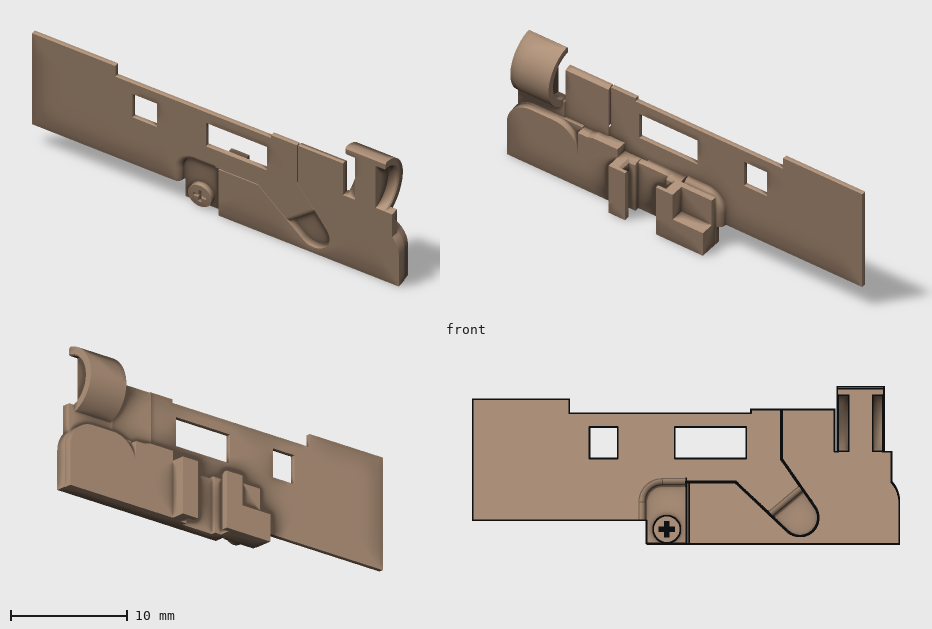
import cadquery as cq
import math

LENGTH = 36.52
SHEET_T = 0.45
SHEET_BOTTOM = 2.05
SHEET_TOP = 11.2
SHEET_RAISED_TOP = 12.4
RAISED_END = 8.3
WINDOW_BOTTOM = 7.35
WINDOW_TOP = 10.0
WINDOW_SPANS = [(10.0, 12.4), (17.3, 23.4)]
SEAM = 0.1

BEND_INNER_R = 0.1
BEND_OUTER_R = BEND_INNER_R + SHEET_T
BEND_STEP = BEND_INNER_R + BEND_OUTER_R
TAB_BACK = BEND_STEP + SHEET_T

TAB_OUTER_LEFT = 14.2
TAB_OUTER_TOP = 5.62
TAB_OUTER_R = 2.0
TAB_RIGHT = 18.25
TAB_BOTTOM = 0.07
TAB_LEFT = TAB_OUTER_LEFT + BEND_STEP
TAB_TOP = TAB_OUTER_TOP - BEND_STEP
TAB_R = TAB_OUTER_R - BEND_STEP
TAB_CORNER_X = TAB_OUTER_LEFT + TAB_OUTER_R
TAB_CORNER_Z = TAB_OUTER_TOP - TAB_OUTER_R

SCREW_X = 16.6
SCREW_Z = 1.28
SCREW_R = 1.17
SCREW_FRONT = 0.1
CROSS_LENGTH = 1.28
CROSS_WIDTH = 0.35
CROSS_DEPTH = 0.22
CROSS_TAPER = 30.0

RAIL_TOP = 5.25
RAIL_BACK = 2.95
LEFT_RAIL = (14.95, 19.85)
RIGHT_RAIL = (23.1, 24.85)
GROOVE_DEPTH = 0.65
GROOVE_FRONT = 1.42
GROOVE_BACK = 2.4
GROOVE_LEAD_IN = 0.22
STEP_RIGHT = 18.1
STEP_Z = 2.52

TONGUE_X = 28.0
TONGUE_Z = 2.25
TONGUE_R = 1.6
LOWER_SEAM = (22.5, RAIL_TOP)
UPPER_SEAM = (26.48, 7.3)
TONGUE_BEND = (25.27, 2.78)
TONGUE_TILT = 50.0
TONGUE_GAP = 0.07
REACH = 2 * LENGTH

BODY_LEFT = 18.55
BODY_T = 1.0
PLATE_T = 0.65
PLATE_TOP = 11.55
PLATE_SLOPE_FRONT = 0.3
SLOPE_DROP = 0.2
RAISED_PLATE_START = 23.8
SHOULDER_X = 35.85
SHOULDER_Z = 7.92
SHOULDER_T = 0.8
NOTCH_LEFT = 30.97

REAR_TOP = 6.17
REAR_FRONT = 0.55
REAR_BACK = 1.65
REAR_RIGHT = 29.0
REAR_RAMP_LEFT = 27.43
REAR_RAMP_RIGHT = 28.0
REAR_RAMP_DROP = 0.2

CORNER_R = 2.55
CORNER_Z = REAR_TOP - CORNER_R
HOOK_BLOCK_LEFT = REAR_RIGHT
HOOK_BLOCK_RIGHT = 36.45

HOOK_LEFT = 31.2
HOOK_RIGHT = 35.2
HOOK_R = 3.18
HOOK_INNER_R = 2.4
HOOK_Y = -0.3
HOOK_Z = 10.35
HOOK_CHAMFER = 0.2
HOOK_LEAD_IN = 0.1
RIB_LEFT = 32.17
RIB_RIGHT = 34.22


def box(x0, x1, y0, y1, z0, z1):
    return cq.Workplane("XY").box(x1 - x0, y1 - y0, z1 - z0, centered=False).translate((x0, y0, z0))


def front_plane(y):
    """Plane facing -Y, with local axes along X and Z."""
    return cq.Workplane("XZ", origin=(0, y, 0))


def disc(x, z, radius, y0, y1):
    return front_plane(y0).center(x, z).circle(radius).extrude(y0 - y1)


def tangent_point(start, radius, side):
    """Where a line from start touches the tongue's round end; side is +1 (above) or -1 (below)."""
    dx = start[0] - TONGUE_X
    dz = start[1] - TONGUE_Z
    angle = math.atan2(dz, dx) - side * math.acos(radius / math.hypot(dx, dz))
    return (TONGUE_X + radius * math.cos(angle), TONGUE_Z + radius * math.sin(angle))


def tongue_prism(gap, y0, y1):
    """Space inside the seams, drawn in by gap, with the round end."""
    lower = (LOWER_SEAM[0], LOWER_SEAM[1] + gap)
    upper = (UPPER_SEAM[0] - gap, UPPER_SEAM[1])
    radius = TONGUE_R - gap
    bearing = math.radians(-TONGUE_TILT)
    tip = (TONGUE_X + radius * math.cos(bearing), TONGUE_Z + radius * math.sin(bearing))
    return (
        front_plane(y0)
        .moveTo(*lower)
        .lineTo(*tangent_point(lower, radius, -1))
        .threePointArc(tip, tangent_point(upper, radius, 1))
        .lineTo(*upper)
        .lineTo(lower[0], upper[1])
        .close()
        .extrude(y0 - y1)
    )


def bend_profile(workplane):
    """Section of the offset bend: local x runs along the sheet, local y into its depth."""
    half = math.sqrt(0.5)
    big = BEND_OUTER_R
    small = BEND_INNER_R
    return (
        workplane.moveTo(0, 0)
        .threePointArc((big * half, big - big * half), (big, big))
        .threePointArc((BEND_STEP - small * half, big + small * half), (BEND_STEP, BEND_STEP))
        .lineTo(BEND_STEP, TAB_BACK)
        .threePointArc((BEND_STEP - big * half, big + big * half), (small, big))
        .threePointArc((small * half, big - small * half), (0, SHEET_T))
        .close()
    )


def straight_bend(length):
    """Bend stepping back along +X, extruded up Z."""
    return bend_profile(cq.Workplane("XY")).extrude(length)


def sheet():
    """Flat part of the thin sheet, with two windows."""
    outline = (
        front_plane(0)
        .moveTo(0, SHEET_BOTTOM)
        .lineTo(TAB_OUTER_LEFT, SHEET_BOTTOM)
        .lineTo(TAB_OUTER_LEFT, TAB_CORNER_Z)
        .radiusArc((TAB_CORNER_X, TAB_OUTER_TOP), TAB_OUTER_R)
        .lineTo(TAB_RIGHT, TAB_OUTER_TOP)
        .lineTo(TAB_RIGHT, RAIL_TOP + SEAM)
        .lineTo(LOWER_SEAM[0], LOWER_SEAM[1] + SEAM)
        .lineTo(UPPER_SEAM[0] - SEAM, UPPER_SEAM[1])
        .lineTo(UPPER_SEAM[0] - SEAM, PLATE_TOP)
        .lineTo(RAISED_PLATE_START, PLATE_TOP)
        .lineTo(RAISED_PLATE_START, SHEET_TOP)
        .lineTo(RAISED_END, SHEET_TOP)
        .lineTo(RAISED_END, SHEET_RAISED_TOP)
        .lineTo(0, SHEET_RAISED_TOP)
        .close()
    )
    flat = outline.extrude(-SHEET_T)
    for left, right in WINDOW_SPANS:
        flat = flat.cut(box(left, right, 0, SHEET_T, WINDOW_BOTTOM, WINDOW_TOP))
    return flat


def across_tongue(shape):
    """Turn a tall shape so that its +X runs down the tongue, starting from the bend."""
    centred = shape.translate((0, 0, -REACH / 2))
    return centred.rotate((0, 0, 0), (0, 1, 0), TONGUE_TILT).translate((TONGUE_BEND[0], 0, TONGUE_BEND[1]))


def tongue():
    """Sheet up to the bend, the bend itself and the set-back end."""
    lead = across_tongue(box(-REACH, 0, 0, SHEET_T, 0, REACH))
    bend = across_tongue(straight_bend(REACH))
    end = across_tongue(box(BEND_STEP, REACH, BEND_STEP, TAB_BACK, 0, REACH))
    lead = lead.intersect(tongue_prism(SEAM, 0, SHEET_T))
    stepped = bend.union(end).intersect(tongue_prism(TONGUE_GAP, 0, TAB_BACK))
    return lead.union(stepped)


def tongue_pocket():
    """Space for the tongue: shallow behind its flat lead, deep from the bend onwards."""
    deep = tongue_prism(0, 0, TAB_BACK)
    deep = deep.intersect(across_tongue(box(0, REACH, 0, TAB_BACK, 0, REACH)))
    return deep.union(tongue_prism(0, 0, REAR_FRONT))


def screw_tab():
    """Set-back corner of the sheet, with the bend around its left side and top."""
    side = straight_bend(TAB_CORNER_Z - SHEET_BOTTOM).translate((TAB_OUTER_LEFT, 0, SHEET_BOTTOM))
    top = straight_bend(TAB_RIGHT - TAB_CORNER_X).rotate((0, 0, 0), (0, 1, 0), 90)
    top = top.translate((TAB_CORNER_X, 0, TAB_OUTER_TOP))
    corner = bend_profile(cq.Workplane("XY", origin=(TAB_OUTER_LEFT, 0, TAB_CORNER_Z))).revolve(
        90, (TAB_OUTER_R, 0, 0), (TAB_OUTER_R, 1, 0)
    )
    flat = (
        front_plane(BEND_STEP)
        .moveTo(TAB_LEFT, TAB_BOTTOM)
        .lineTo(TAB_LEFT, TAB_CORNER_Z)
        .radiusArc((TAB_CORNER_X, TAB_TOP), TAB_R)
        .lineTo(TAB_RIGHT, TAB_TOP)
        .lineTo(TAB_RIGHT, TAB_BOTTOM)
        .close()
        .extrude(-SHEET_T)
    )
    return flat.union(side).union(top).union(corner)


def screw():
    """Screw head with a tapered cross recess."""
    head = disc(SCREW_X, SCREW_Z, SCREW_R, SCREW_FRONT, BEND_STEP)
    recess = front_plane(SCREW_FRONT).center(SCREW_X, SCREW_Z)
    head = head.cut(recess.rect(CROSS_LENGTH, CROSS_WIDTH).extrude(-CROSS_DEPTH, taper=CROSS_TAPER))
    return head.cut(recess.rect(CROSS_WIDTH, CROSS_LENGTH).extrude(-CROSS_DEPTH, taper=CROSS_TAPER))


def back_slope(x0, x1, y0, y1, top):
    """Wedge that slopes the rear part of a top face down towards the back."""
    section = cq.Workplane("YZ", origin=(x0, 0, 0)).moveTo(y0, top).lineTo(y1, top)
    return section.lineTo(y1, top - SLOPE_DROP).close().extrude(x1 - x0)


def main_body():
    """Thick lower body, the plate above it and the shoulder under the hook."""
    lower = (
        front_plane(0)
        .moveTo(BODY_LEFT, 0)
        .lineTo(LENGTH, 0)
        .lineTo(LENGTH, CORNER_Z)
        .radiusArc((LENGTH - CORNER_R, REAR_TOP), -CORNER_R)
        .lineTo(REAR_RIGHT, REAR_TOP)
        .lineTo(REAR_RIGHT, RAIL_TOP)
        .lineTo(BODY_LEFT, RAIL_TOP)
        .close()
        .extrude(-BODY_T)
    )
    lower = lower.cut(back_slope(LEFT_RAIL[1], RIGHT_RAIL[0], REAR_FRONT, BODY_T, RAIL_TOP))
    plate = box(UPPER_SEAM[0], NOTCH_LEFT, 0, PLATE_T, RAIL_TOP, PLATE_TOP)
    plate = plate.cut(back_slope(UPPER_SEAM[0], NOTCH_LEFT, PLATE_SLOPE_FRONT, PLATE_T, PLATE_TOP))
    shoulder = box(NOTCH_LEFT, SHOULDER_X, 0, SHOULDER_T, CORNER_Z, SHOULDER_Z)
    return lower.union(plate).union(shoulder)


def rear_block():
    """Block behind the tongue, with a shallow ramp in its top."""
    return (
        front_plane(REAR_FRONT)
        .moveTo(RIGHT_RAIL[1], 0)
        .lineTo(RIGHT_RAIL[1], REAR_TOP)
        .lineTo(REAR_RAMP_LEFT, REAR_TOP)
        .lineTo(REAR_RAMP_RIGHT, REAR_TOP - REAR_RAMP_DROP)
        .lineTo(REAR_RIGHT, REAR_TOP - REAR_RAMP_DROP)
        .lineTo(REAR_RIGHT, 0)
        .close()
        .extrude(REAR_FRONT - REAR_BACK)
    )


def hook_block():
    """Block with rounded top corners behind the foot of the hook."""
    return (
        front_plane(BODY_T)
        .moveTo(HOOK_BLOCK_LEFT, 0)
        .lineTo(HOOK_BLOCK_LEFT, CORNER_Z)
        .radiusArc((HOOK_BLOCK_LEFT + CORNER_R, REAR_TOP), CORNER_R)
        .lineTo(HOOK_BLOCK_RIGHT - CORNER_R, REAR_TOP)
        .radiusArc((HOOK_BLOCK_RIGHT, CORNER_Z), CORNER_R)
        .lineTo(HOOK_BLOCK_RIGHT, 0)
        .close()
        .extrude(BODY_T - REAR_BACK)
    )


def groove(mouth_x):
    """Vertical slot opening at mouth_x, reaching both ways in X, flared at its top."""
    width = GROOVE_BACK - GROOVE_FRONT
    centre_y = (GROOVE_FRONT + GROOVE_BACK) / 2

    def section(workplane, grow):
        return workplane.rect(2 * (GROOVE_DEPTH + grow), width + 2 * grow)

    base = cq.Workplane("XY", origin=(mouth_x, centre_y, 0))
    slot = section(base, 0).extrude(RAIL_TOP)
    flare = base.workplane(offset=RAIL_TOP - GROOVE_LEAD_IN)
    flare = section(section(flare, 0).workplane(offset=GROOVE_LEAD_IN), GROOVE_LEAD_IN).loft()
    return slot.union(flare)


def rails():
    """Two rails with facing grooves; the left one also backs the screw tab."""
    left = box(*LEFT_RAIL, TAB_BACK, RAIL_BACK, 0, RAIL_TOP)
    left = left.union(box(BODY_LEFT, LEFT_RAIL[1], BODY_T, TAB_BACK, 0, RAIL_TOP))
    left = left.cut(box(LEFT_RAIL[0], STEP_RIGHT, REAR_BACK, RAIL_BACK, STEP_Z, RAIL_TOP))
    right = box(*RIGHT_RAIL, BODY_T, RAIL_BACK, 0, RAIL_TOP)
    return left.cut(groove(LEFT_RAIL[1])).union(right.cut(groove(RIGHT_RAIL[0])))


def hook():
    """Half-round hook, hollow at both ends with a solid rib between."""

    def roll(start, length, radius):
        return cq.Workplane("YZ", origin=(start, HOOK_Y, HOOK_Z)).circle(radius).extrude(length)

    shell = roll(HOOK_LEFT, HOOK_RIGHT - HOOK_LEFT, HOOK_R)
    shell = shell.intersect(box(HOOK_LEFT, HOOK_RIGHT, 0, HOOK_R, 0, HOOK_Z + HOOK_R))
    shell = shell.edges("|X and <Y and >Z").chamfer(HOOK_CHAMFER)
    left_hollow = roll(HOOK_LEFT, RIB_LEFT - HOOK_LEFT, HOOK_INNER_R)
    right_hollow = roll(RIB_RIGHT, HOOK_RIGHT - RIB_RIGHT, HOOK_INNER_R)
    shell = shell.cut(left_hollow).cut(right_hollow)
    for end, inward in ((HOOK_LEFT, 1), (HOOK_RIGHT, -1)):
        mouth = cq.Workplane("YZ", origin=(end, HOOK_Y, HOOK_Z)).circle(HOOK_INNER_R + HOOK_LEAD_IN)
        shell = shell.cut(mouth.workplane(offset=inward * HOOK_LEAD_IN).circle(HOOK_INNER_R).loft())
    return shell


result = (
    main_body()
    .union(rear_block())
    .union(hook_block())
    .cut(tongue_pocket())
    .union(hook())
    .union(rails())
    .union(tongue())
    .union(screw_tab())
    .union(screw())
    .union(sheet())
)